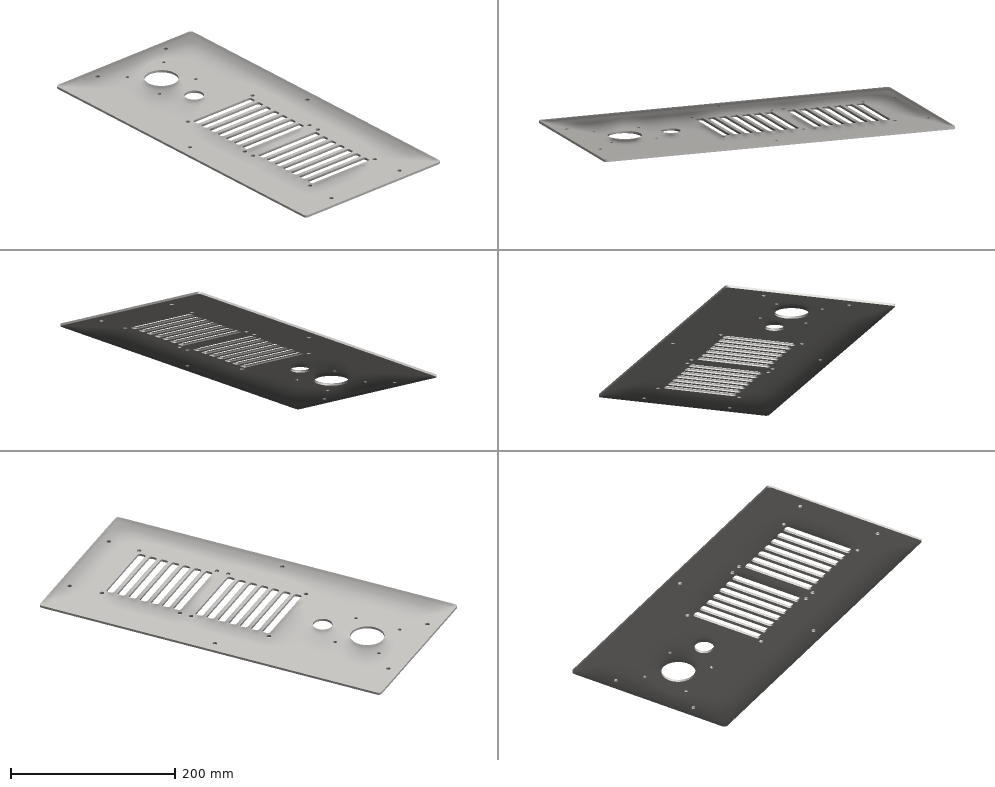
import cadquery as cq

plate_length = 460.0
plate_width = 220.0
plate_thickness = 3.0
plate_corner_radius = 4.0

mount_hole_diameter = 5.5
end_hole_x = 215.0
end_hole_y = 55.0
side_hole_y = 95.0

large_opening_diameter = 42.0
large_opening_x = -160.0
opening_screw_diameter = 4.5
opening_screw_spacing = 59.0

small_opening_diameter = 24.0
small_opening_x = -100.0

grille_centers_x = (0.0, 120.0)
grille_screw_diameter = 5.5
grille_screw_spacing = 105.0
slot_count = 7
slot_row_length = 100.5
slot_width = 10.0
slot_length = 94.0
slot_corner_radius = 3.0
slot_pitch = (slot_row_length - slot_width) / (slot_count - 1)


def through_holes(points, diameter):
    """Cylinders through the plate thickness at the given points."""
    return cq.Workplane("XY").pushPoints(points).circle(diameter / 2).extrude(plate_thickness)


def square_corners(center_x, spacing):
    """Corners of a square centred on the long axis of the plate."""
    half = spacing / 2
    return [(center_x + sx * half, sy * half) for sx in (-1, 1) for sy in (-1, 1)]


def cut_mounting_holes(body):
    points = [(sx * end_hole_x, sy * end_hole_y) for sx in (-1, 1) for sy in (-1, 1)]
    points += [(0, side_hole_y), (0, -side_hole_y)]
    return body.cut(through_holes(points, mount_hole_diameter))


def cut_round_openings(body):
    screw_points = square_corners(large_opening_x, opening_screw_spacing)
    body = body.cut(through_holes([(large_opening_x, 0)], large_opening_diameter))
    body = body.cut(through_holes(screw_points, opening_screw_diameter))
    return body.cut(through_holes([(small_opening_x, 0)], small_opening_diameter))


def cut_grille(body, center_x):
    first_slot_x = center_x - slot_pitch * (slot_count - 1) / 2
    slot_points = [(first_slot_x + i * slot_pitch, 0) for i in range(slot_count)]
    slots = (
        cq.Workplane("XY")
        .pushPoints(slot_points)
        .rect(slot_width, slot_length)
        .extrude(plate_thickness)
        .edges("|Z")
        .fillet(slot_corner_radius)
    )
    screw_points = square_corners(center_x, grille_screw_spacing)
    return body.cut(slots).cut(through_holes(screw_points, grille_screw_diameter))


plate = (
    cq.Workplane("XY")
    .rect(plate_length, plate_width)
    .extrude(plate_thickness)
    .edges("|Z")
    .fillet(plate_corner_radius)
)
plate = cut_mounting_holes(plate)
plate = cut_round_openings(plate)
for grille_x in grille_centers_x:
    plate = cut_grille(plate, grille_x)

result = plate